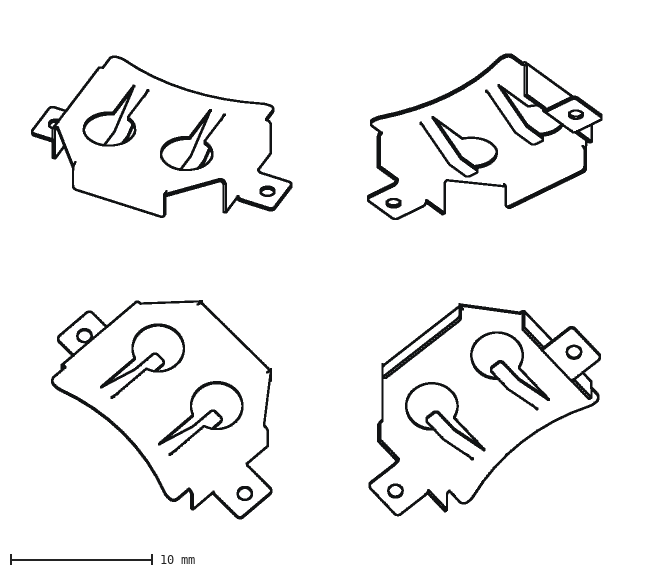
import cadquery as cq
import math

thickness = 0.2
inner_bend_radius = 0.2
outer_bend_radius = inner_bend_radius + thickness
mid_bend_radius = inner_bend_radius + thickness / 2
total_height = 3.38
mid_plate_z = total_height - thickness / 2
square_bend = 90

wall_outer_x = 6.8
plate_half_width = wall_outer_x - outer_bend_radius
front_y = -6.0
back_y = 6.0
plate_corner_radius = 0.4
scoop_radius = 15.3
scoop_bottom_y = 4.95
scoop_blend_radius = 1.0

wall_center_y = 0.9
wall_width = 7.22
tab_width = 3.2
tab_end_x = 9.5
tab_corner_radius = 0.3
tab_hole_x = 8.3
tab_hole_diameter = 1.0

flange_half_width = 3.58
flange_bottom_z = 1.22
flange_corner_radius = 0.28

spring_x = 3.0
spring_width = 1.05
slot_width = 1.15
slot_back_y = 3.7
window_hole_x = 3.03
window_hole_y = -1.29
window_hole_diameter = 3.62
spring_down_angle = 30
spring_tip_inner_radius = 0.1
spring_tip_bend_radius = spring_tip_inner_radius + thickness / 2
spring_arm_length = 3.47
spring_tip_length = 1.9
spring_corner_radius = 0.25


def bent_strip(start, heading, steps, width):
    """Sheet strip along a path in the local XY plane, with its width centred on that plane.

    Steps are ("straight", length) or ("bend", angle, radius at mid-thickness). A positive angle
    turns counter-clockwise.
    """
    x, y = start
    angle = math.radians(heading)
    section = cq.Plane(origin=(x, y, 0), xDir=(0, 0, 1), normal=(math.cos(angle), math.sin(angle), 0))
    path = cq.Workplane("XY").moveTo(x, y)
    for kind, *sizes in steps:
        if kind == "straight":
            length = sizes[0]
            x += length * math.cos(angle)
            y += length * math.sin(angle)
            path = path.lineTo(x, y)
        else:
            turn_angle, radius = sizes
            turn = math.radians(turn_angle)
            signed_radius = math.copysign(radius, turn)
            center_x = x - signed_radius * math.sin(angle)
            center_y = y + signed_radius * math.cos(angle)
            arc_points = []
            for heading_on_arc in (angle + turn / 2, angle + turn):
                x = center_x + signed_radius * math.sin(heading_on_arc)
                y = center_y - signed_radius * math.cos(heading_on_arc)
                arc_points.append((x, y))
            path = path.threePointArc(*arc_points)
            angle += turn
    return cq.Workplane(section).rect(width, thickness).sweep(path)


def place(strip, origin, x_dir, normal):
    """Move a strip from the global XY plane to the given plane."""
    plane = cq.Plane(origin=origin, xDir=x_dir, normal=normal)
    return cq.Workplane(strip.val().moved(cq.Location(plane)))


def both_sides(body):
    return body.union(body.mirror("YZ"))


def top_plate():
    """Flat plate with a scooped back edge, cut-off front corners and room for the front bend."""
    wall_front_y = wall_center_y - wall_width / 2
    bend_start_y = front_y + outer_bend_radius
    plate = (
        cq.Workplane("XY", origin=(0, 0, total_height - thickness))
        .polyline([
            (-plate_half_width, back_y),
            (-plate_half_width, wall_front_y),
            (-flange_half_width, front_y),
            (-flange_half_width, bend_start_y),
            (flange_half_width, bend_start_y),
            (flange_half_width, front_y),
            (plate_half_width, wall_front_y),
            (plate_half_width, back_y),
        ])
        .close()
        .extrude(thickness)
    )
    scoop = (
        cq.Workplane("XY")
        .center(0, scoop_bottom_y + scoop_radius)
        .circle(scoop_radius)
        .extrude(total_height)
    )
    plate = plate.cut(scoop)
    scoop_rise = back_y - scoop_bottom_y
    scoop_end_x = math.sqrt(scoop_rise * (2 * scoop_radius - scoop_rise))
    for side in (-1, 1):
        scoop_end = (side * scoop_end_x, back_y, mid_plate_z)
        plate_corner = (side * plate_half_width, back_y, mid_plate_z)
        plate = plate.edges(cq.NearestToPointSelector(scoop_end)).fillet(scoop_blend_radius)
        plate = plate.edges(cq.NearestToPointSelector(plate_corner)).fillet(plate_corner_radius)
    return plate


def spring_windows():
    """Keyhole cutters: a straight slot running into a round hole, one for each spring."""
    slot_length = slot_back_y - window_hole_y
    hole = (
        cq.Workplane("XY")
        .center(window_hole_x, window_hole_y)
        .circle(window_hole_diameter / 2)
        .extrude(total_height)
    )
    slot = (
        cq.Workplane("XY")
        .center(spring_x, slot_back_y - slot_length / 2)
        .rect(slot_width, slot_length)
        .extrude(total_height)
    )
    return both_sides(hole.union(slot))


def springs():
    """Arms bent down from the back of each slot, with the tips turned back level."""
    arm = bent_strip(
        (0, 0),
        0,
        [
            ("bend", -spring_down_angle, mid_bend_radius),
            ("straight", spring_arm_length),
            ("bend", spring_down_angle, spring_tip_bend_radius),
            ("straight", spring_tip_length),
        ],
        spring_width,
    )
    arm = arm.faces(">X").edges("not |Z").fillet(spring_corner_radius)
    return both_sides(place(arm, (spring_x, slot_back_y, mid_plate_z), (0, -1, 0), (-1, 0, 0)))


def side_walls():
    """Side walls bent down from the plate, each ending in a drilled tab bent outward."""
    bend = ("bend", -square_bend, mid_bend_radius)
    wall_length = total_height - 2 * outer_bend_radius
    wall = bent_strip((plate_half_width, mid_plate_z), 0, [bend, ("straight", wall_length)], wall_width)

    tab_start = (wall_outer_x - thickness / 2, outer_bend_radius)
    tab_length = tab_end_x - wall_outer_x - inner_bend_radius
    tab_steps = [("bend", square_bend, mid_bend_radius), ("straight", tab_length)]
    tab = bent_strip(tab_start, -square_bend, tab_steps, tab_width)
    tab = tab.faces(">X").edges("|Y").fillet(tab_corner_radius)

    wall = place(wall.union(tab), (0, wall_center_y, 0), (1, 0, 0), (0, -1, 0))
    hole = (
        cq.Workplane("XY")
        .center(tab_hole_x, wall_center_y)
        .circle(tab_hole_diameter / 2)
        .extrude(outer_bend_radius)
    )
    return both_sides(wall.cut(hole))


def front_flange():
    """Short flange bent down from the front edge, with rounded lower corners."""
    flange_length = total_height - outer_bend_radius - flange_bottom_z
    steps = [("bend", -square_bend, mid_bend_radius), ("straight", flange_length)]
    flange = bent_strip((-front_y - outer_bend_radius, mid_plate_z), 0, steps, 2 * flange_half_width)
    flange = flange.faces("<Y").edges("|X").fillet(flange_corner_radius)
    return place(flange, (0, 0, 0), (0, -1, 0), (-1, 0, 0))


result = (
    top_plate()
    .cut(spring_windows())
    .union(springs())
    .union(side_walls())
    .union(front_flange())
)